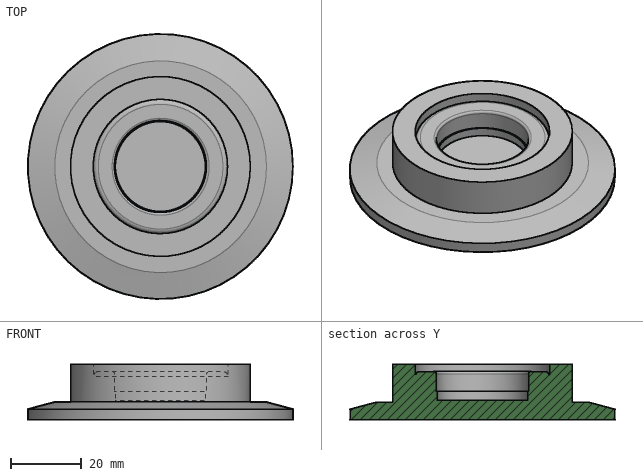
import cadquery as cq
import math

flange_radius = 74.93 / 2
flange_height = 5.08
taper_top_radius = 59.8 / 2
taper_angle = 15.0
taper_drop = (flange_radius - taper_top_radius) * math.tan(math.radians(taper_angle))

total_height = 15.75
hub_radius = 50.8 / 2
bore_radius = 37.95 / 2

ring_depth = 2.03
ring_outer_round = 1.35
ring_inner_radius = 13.0
ring_inner_round = 0.7

ledge_depth = 7.62
window_radius = 12.7
window_depth = 10.16

ring_top = total_height - ring_depth


def revolved(profile):
    """Full turn about Z of a profile drawn as radius against height."""
    return profile.close().revolve(360, (0, 0, 0), (0, 1, 0))


def make_body():
    """Solid flange and hub before the centre is hollowed."""
    return revolved(
        cq.Workplane("XZ")
        .lineTo(flange_radius, 0)
        .lineTo(flange_radius, flange_height - taper_drop)
        .lineTo(taper_top_radius, flange_height)
        .lineTo(hub_radius, flange_height)
        .lineTo(hub_radius, total_height)
        .lineTo(0, total_height)
    )


def make_cavity():
    """Space above the ring and the window, including the rounded ring edges."""
    outer_round_start = bore_radius - ring_outer_round
    inner_round_start = ring_inner_radius + ring_inner_round
    return revolved(
        cq.Workplane("XZ")
        .moveTo(0, total_height)
        .lineTo(bore_radius, total_height)
        .lineTo(bore_radius, ring_top - ring_outer_round)
        .radiusArc((outer_round_start, ring_top), -ring_outer_round)
        .lineTo(inner_round_start, ring_top)
        .radiusArc((ring_inner_radius, ring_top - ring_inner_round), -ring_inner_round)
        .lineTo(ring_inner_radius, total_height - ledge_depth)
        .lineTo(window_radius, total_height - ledge_depth)
        .lineTo(window_radius, total_height - window_depth)
        .lineTo(0, total_height - window_depth)
    )


result = make_body().cut(make_cavity())